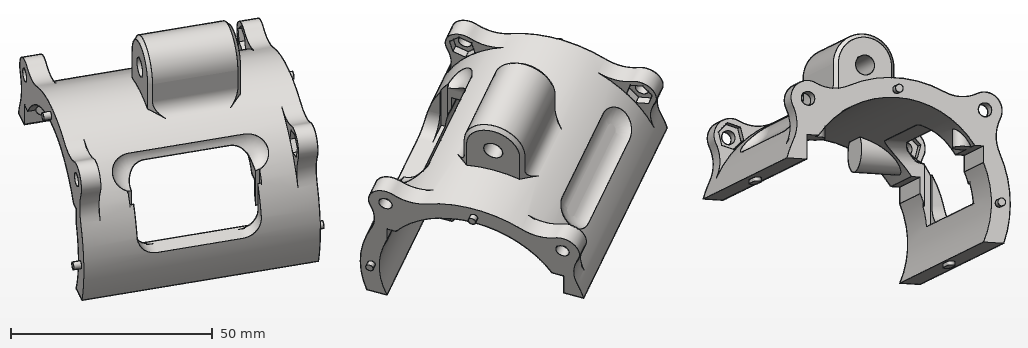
import cadquery as cq
import math

OUTER_R = 30.0
WALL = 5.0
INNER_R = OUTER_R - WALL
FRONT_Y = -30.0
BACK_Y = 31.0
LEFT_FOOT_Z = 8.0
RIGHT_FOOT_Z = -10.0

EAR_ANGLE = 45.0
EAR_AXIS_R = 33.0
EAR_TIP_R = 4.5
EAR_BLEND_R = 10.0
EAR_THICKNESS = 5.0
EAR_HOLE_D = 3.5
NUT_ACROSS_FLATS = 6.0
NUT_DEPTH = 2.0

LUG_FRONT_Y = -7.0
LUG_BACK_Y = 17.0
LUG_HALF_WIDTH = 8.0
LUG_AXIS_Z = 37.1
LUG_HOLE_D = 5.0
LUG_CHAMFER = 1.0
LUG_BASE_R = 4.0
LUG_ROOT_Z = 27.0

GROOVE_STRAIGHT = 29.6
GROOVE_FLOOR_HALF_WIDTH = 1.3
GROOVE_FLOOR_R = 28.0
GROOVE_WALL_R = 4.9

WINDOW_LENGTH = 32.0
WINDOW_BOTTOM_Z = 2.0
WINDOW_HEIGHT = 20.0
WINDOW_CORNER_R = 5.0
WINDOW_INNER_X = 12.0
SLOT_LENGTH = 34.0
SLOT_INNER_X = 24.0
SLOT_OUTER_X = 26.0

SEAT_LEFT_X = -23.6
SEAT_RIGHT_X = 22.9
SEAT_TOP_Z = 14.2
POST_D = 5.0
POST_LEFT_X = -19.9
POST_RIGHT_X = 19.0
POST_FRONT_Y = -25.5

BAR_R = 5.0
BAR_AXIS_Z = 20.55
BAR_INNER_X = 7.8
BAR_OUTER_X = 20.0
BAR_Y = 22.0

INNER_OVERLAP = 1.25

PIN_D = 2.0
END_PIN_R = 27.0
FRONT_PIN_LENGTH = 2.0
BACK_PIN_LENGTH = 1.5
FOOT_PIN_LENGTH = 1.0
FOOT_PIN_SPAN = 5.0
LEFT_FOOT_PIN_X = -26.4
RIGHT_FOOT_PIN_X = 24.7

SIDES = (-1, 1)


def polar(radius, degrees):
    angle = math.radians(degrees)
    return (radius * math.cos(angle), radius * math.sin(angle))


def along(start, end, distance):
    """Point at a distance from start on the way to end."""
    length = math.dist(start, end)
    return tuple(a + (b - a) * distance / length for a, b in zip(start, end))


def box(x0, x1, y0, y1, z0, z1):
    return cq.Workplane("XY").box(x1 - x0, y1 - y0, z1 - z0, centered=False).translate((x0, y0, z0))


def section(y):
    """Sketch plane across the part at y, with local axes X and Z; extrude a negative length for +Y."""
    return cq.Workplane("XZ", origin=(0, y, 0))


def rod_y(x, z, diameter, y0, y1):
    return section(y0).center(x, z).circle(diameter / 2).extrude(y0 - y1)


def keep_above_feet():
    """Two blocks, one for each side, that end at the height of that side's foot."""
    top = OUTER_R + EAR_TIP_R
    left = box(-2 * OUTER_R, 0, FRONT_Y, BACK_Y, LEFT_FOOT_Z, top)
    right = box(0, 2 * OUTER_R, FRONT_Y, BACK_Y, RIGHT_FOOT_Z, top)
    return left.union(right)


def shell():
    length = BACK_Y - FRONT_Y
    tube = section(FRONT_Y).circle(OUTER_R).circle(INNER_R).extrude(-length)
    return tube.intersect(keep_above_feet())


def ear_blank(side, y0):
    """Rounded ear blended tangentially into the outside of the shell."""
    blend_axis_r = OUTER_R + EAR_BLEND_R
    reach = EAR_TIP_R + EAR_BLEND_R
    spread = math.degrees(
        math.acos((blend_axis_r**2 + EAR_AXIS_R**2 - reach**2) / (2 * blend_axis_r * EAR_AXIS_R))
    )
    ear_axis = polar(EAR_AXIS_R, EAR_ANGLE)

    def blend(sign):
        """Shell end, middle and ear end of one blend arc."""
        angle = EAR_ANGLE + sign * spread
        axis = polar(blend_axis_r, angle)
        on_shell = polar(OUTER_R, angle)
        on_ear = along(ear_axis, axis, EAR_TIP_R)
        chord_middle = tuple((a + b) / 2 for a, b in zip(on_shell, on_ear))
        return on_shell, along(axis, chord_middle, EAR_BLEND_R), on_ear

    low_shell, low_middle, low_ear = blend(-1)
    high_shell, high_middle, high_ear = blend(1)
    ear = (
        section(y0)
        .moveTo(*low_shell)
        .threePointArc(low_middle, low_ear)
        .threePointArc(polar(EAR_AXIS_R + EAR_TIP_R, EAR_ANGLE), high_ear)
        .threePointArc(high_middle, high_shell)
        .threePointArc(polar(INNER_R + WALL / 2, EAR_ANGLE), low_shell)
        .close()
        .extrude(-EAR_THICKNESS)
    )
    return ear if side > 0 else ear.mirror("YZ")


def nut_pocket(side, y0):
    """Hexagonal cutter with two of its flats square to the radial line through the ear."""
    across_corners = NUT_ACROSS_FLATS / math.cos(math.pi / 6)
    flat_turn = 30.0
    pocket = (
        section(y0)
        .transformed(rotate=(0, 0, EAR_ANGLE))
        .center(EAR_AXIS_R, 0)
        .transformed(rotate=(0, 0, flat_turn))
        .polygon(6, across_corners)
        .extrude(-NUT_DEPTH)
    )
    return pocket if side > 0 else pocket.mirror("YZ")


def add_ears(body):
    ear_x, ear_z = polar(EAR_AXIS_R, EAR_ANGLE)
    front_pocket_y = FRONT_Y + EAR_THICKNESS - NUT_DEPTH
    back_ear_y = BACK_Y - EAR_THICKNESS
    for side in SIDES:
        for ear_y, pocket_y in ((FRONT_Y, front_pocket_y), (back_ear_y, back_ear_y)):
            body = body.union(ear_blank(side, ear_y))
            body = body.cut(nut_pocket(side, pocket_y))
            body = body.cut(rod_y(side * ear_x, ear_z, EAR_HOLE_D, ear_y, ear_y + EAR_THICKNESS))
    return body


def lug_base():
    """Concave flare between the lug sides and the shell, cut off at 45 degrees at its corners."""
    axis_x = LUG_HALF_WIDTH + LUG_BASE_R
    axis_z = math.sqrt((OUTER_R + LUG_BASE_R) ** 2 - axis_x**2)
    foot = along((axis_x, axis_z), (0, 0), LUG_BASE_R)
    top = (LUG_HALF_WIDTH, axis_z)
    chord_middle = ((foot[0] + top[0]) / 2, (foot[1] + top[1]) / 2)
    middle = along((axis_x, axis_z), chord_middle, LUG_BASE_R)
    flare = (
        section(LUG_FRONT_Y)
        .moveTo(0, LUG_ROOT_Z)
        .lineTo(foot[0], LUG_ROOT_Z)
        .lineTo(*foot)
        .threePointArc(middle, top)
        .lineTo(0, axis_z)
        .close()
        .extrude(LUG_FRONT_Y - LUG_BACK_Y)
    )
    corner = foot[0] - LUG_HALF_WIDTH + LUG_CHAMFER
    plan = box(-foot[0], foot[0], LUG_FRONT_Y, LUG_BACK_Y, LUG_ROOT_Z, axis_z).edges("|Z").chamfer(corner)
    return flare.union(flare.mirror("YZ")).intersect(plan)


def lug():
    body = (
        section(LUG_FRONT_Y)
        .moveTo(-LUG_HALF_WIDTH, LUG_ROOT_Z)
        .lineTo(LUG_HALF_WIDTH, LUG_ROOT_Z)
        .lineTo(LUG_HALF_WIDTH, LUG_AXIS_Z)
        .threePointArc((0, LUG_AXIS_Z + LUG_HALF_WIDTH), (-LUG_HALF_WIDTH, LUG_AXIS_Z))
        .close()
        .extrude(LUG_FRONT_Y - LUG_BACK_Y)
        .faces("<Y or >Y")
        .edges("not <Z")
        .chamfer(LUG_CHAMFER)
    )
    return body.union(lug_base()).cut(rod_y(0, LUG_AXIS_Z, LUG_HOLE_D, LUG_FRONT_Y, LUG_BACK_Y))


def groove(side):
    """Cutter for a long shallow groove with a flat floor and concave walls."""
    width = 2 * (GROOVE_FLOOR_HALF_WIDTH + GROOVE_WALL_R)
    height = 2 * GROOVE_WALL_R
    x, z = polar(GROOVE_FLOOR_R, EAR_ANGLE)
    floor = cq.Plane(origin=(side * x, 0, z), xDir=(0, 1, 0), normal=(side * x, 0, z))
    return (
        cq.Workplane(floor)
        .slot2D(GROOVE_STRAIGHT + width, width)
        .extrude(height)
        .faces(cq.selectors.DirectionNthSelector(cq.Vector(side * x, 0, z), 0))
        .edges()
        .fillet(GROOVE_WALL_R)
    )


def window():
    half = WINDOW_LENGTH / 2
    top_z = WINDOW_BOTTOM_Z + WINDOW_HEIGHT
    opening = box(WINDOW_INNER_X, OUTER_R + WALL, -half, half, WINDOW_BOTTOM_Z, top_z)
    return opening.edges("|X").fillet(WINDOW_CORNER_R)


def plate_slot():
    half = SLOT_LENGTH / 2
    return box(SLOT_INNER_X, SLOT_OUTER_X, -half, half, WINDOW_BOTTOM_Z, OUTER_R)


def board_seat():
    return box(SEAT_LEFT_X, SEAT_RIGHT_X, FRONT_Y, BACK_Y, RIGHT_FOOT_Z, SEAT_TOP_Z)


def inside_only(blank):
    """Trim a blank just inside the wall, so that it joins the shell without reaching the grooves."""
    core = section(FRONT_Y).circle(INNER_R + INNER_OVERLAP).extrude(FRONT_Y - BACK_Y)
    return blank.intersect(core)


def posts():
    spots = [(POST_LEFT_X, POST_FRONT_Y), (POST_RIGHT_X, POST_FRONT_Y)]
    blanks = (
        cq.Workplane("XY", origin=(0, 0, SEAT_TOP_Z))
        .pushPoints(spots)
        .circle(POST_D / 2)
        .extrude(INNER_R - SEAT_TOP_Z)
    )
    return inside_only(blanks)


def bar():
    blank = (
        cq.Workplane("YZ", origin=(BAR_INNER_X, BAR_Y, BAR_AXIS_Z))
        .circle(BAR_R)
        .extrude(BAR_OUTER_X - BAR_INNER_X)
    )
    return inside_only(blank)


def add_pins(body):
    for x, z in ((0, END_PIN_R), (END_PIN_R, 0)):
        body = body.union(rod_y(x, z, PIN_D, FRONT_Y - FRONT_PIN_LENGTH, FRONT_Y))
        body = body.union(rod_y(x, z, PIN_D, BACK_Y, BACK_Y + BACK_PIN_LENGTH))
    for x, z in ((LEFT_FOOT_PIN_X, LEFT_FOOT_Z), (RIGHT_FOOT_PIN_X, RIGHT_FOOT_Z)):
        foot = cq.Workplane("XY", origin=(x, 0, z))
        body = body.union(foot.slot2D(FOOT_PIN_SPAN, PIN_D, angle=90).extrude(-FOOT_PIN_LENGTH))
    return body


result = add_ears(shell())
result = result.union(lug())
for groove_side in SIDES:
    result = result.cut(groove(groove_side))
result = result.cut(board_seat())
result = result.union(bar()).union(posts())
result = result.cut(window()).cut(plate_slot())
result = add_pins(result)